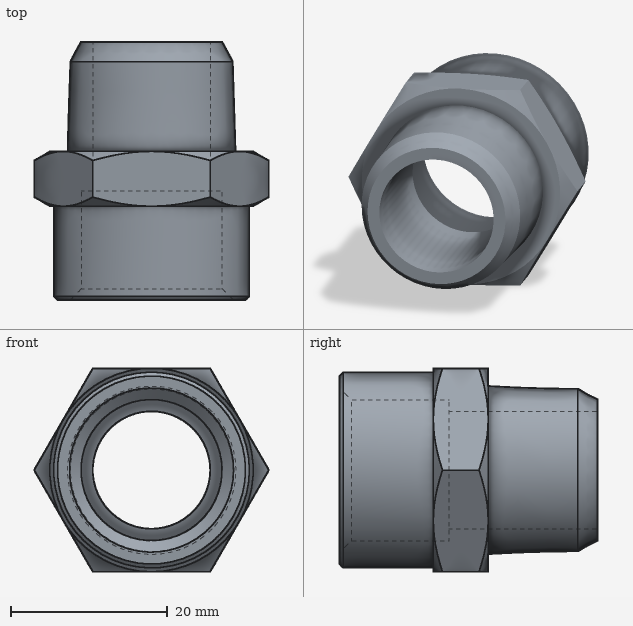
import cadquery as cq
import math

length = 33.0
hex_start = 12.0
hex_width = 7.0
hex_end = hex_start + hex_width

across_flats = 26.0
across_corners = across_flats / math.cos(math.radians(30))
hex_chamfer_angle = 30.0

body_radius = 12.5
body_chamfer = 0.5

taper_root_radius = 10.75
taper_tip_radius = 10.4
nose_radius = 9.05
nose_length = 2.5

bore_radius = 7.5
socket_radius = 9.0
mouth_radius = 10.5
mouth_half_angle = 45.0
mouth_depth = (mouth_radius - socket_radius) / math.tan(math.radians(mouth_half_angle))
socket_depth = 14.0


def revolve_about_y(points):
    """Revolve a closed (radius, Y) outline around the Y axis."""
    return cq.Workplane("XY").polyline(points).close().revolve(360, (0, 0, 0), (0, 1, 0))


def make_hexagon():
    """Hexagon with corners on +X and -X, turned to a cone at both ends."""
    prism = (
        cq.Workplane("XZ", origin=(0, hex_end, 0))
        .polygon(6, across_corners)
        .extrude(hex_width)
    )
    face_radius = across_flats / 2
    corner_radius = across_corners / 2
    corner_drop = (corner_radius - face_radius) * math.tan(math.radians(hex_chamfer_angle))
    envelope = revolve_about_y([
        (0, hex_start),
        (face_radius, hex_start),
        (corner_radius, hex_start + corner_drop),
        (corner_radius, hex_end - corner_drop),
        (face_radius, hex_end),
        (0, hex_end),
    ])
    return prism.intersect(envelope)


def make_turned_body():
    """Straight chamfered cylinder followed by the tapered spigot."""
    return revolve_about_y([
        (0, 0),
        (body_radius - body_chamfer, 0),
        (body_radius, body_chamfer),
        (body_radius, hex_end),
        (taper_root_radius, hex_end),
        (taper_tip_radius, length - nose_length),
        (nose_radius, length),
        (0, length),
    ])


def make_cavity():
    """Conical mouth, tube socket and through bore."""
    return revolve_about_y([
        (0, 0),
        (mouth_radius, 0),
        (socket_radius, mouth_depth),
        (socket_radius, socket_depth),
        (bore_radius, socket_depth),
        (bore_radius, length),
        (0, length),
    ])


result = make_turned_body().union(make_hexagon()).cut(make_cavity())